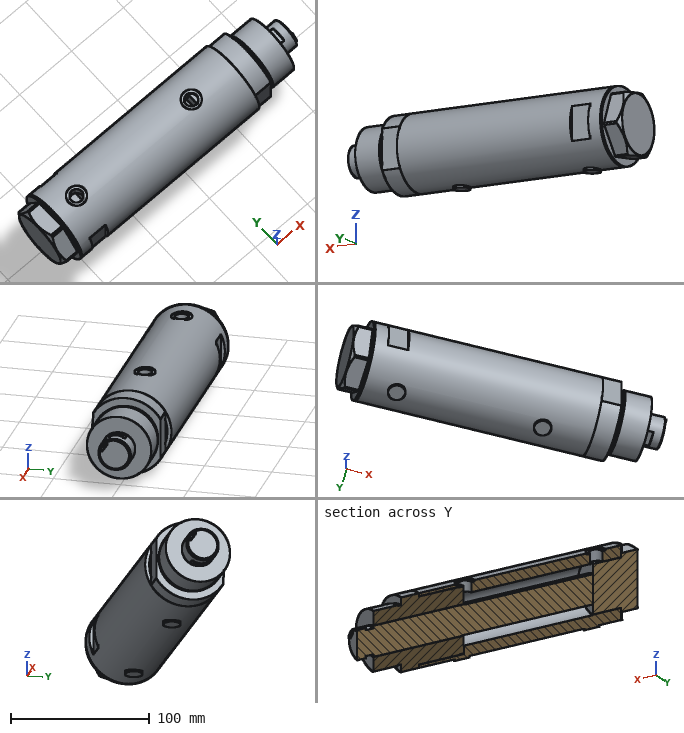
import cadquery as cq
import math


length = 238.5
hex_end = 13.0
housing_start = 14.5
housing_end = 185.5
shoulder_end = 200.5
neck_end = 202.5
collar_start = 203.8
collar_end = 223.9
rod_flat_end = 230.0
pad_height = 0.7
rod_end = length - pad_height

body_diameter = 59.0
bore_diameter = 40.0
spigot_start = 147.3
spigot_diameter = 53.0
body_flat_start = 24.5
body_flat_end = 39.8
body_flats_across = 53.0
port_positions = (35.3, 146.0)
port_diameter = 10.3
spotface_diameter = 15.3
spotface_height = 28.4
boss_positions = (38.9, 148.5)
boss_diameter = 12.6
boss_height = 1.2

hex_flats_across = 46.3
hex_corner_diameter = 52.5
hex_turn = 7.2
hex_face_diameter = 45.3
hex_chamfer_length = 2.6
stud_end = 38.1

gland_flats_across = 50.0
neck_diameter = 46.7
collar_diameter = 48.0

rod_diameter = 24.0
rod_flats_across = 20.7
rod_chamfer_length = 0.7
rod_chamfer_depth = 1.2
pad_length = 8.0
pad_width = 2.0
pad_radius = 9.5
pad_angle = 35.0


def turned(profile):
    """Solid of revolution about X from (x, radius) points; both ends close on the axis."""
    points = [(profile[0][0], 0), *profile, (profile[-1][0], 0)]
    return cq.Workplane("XZ").polyline(points).close().revolve(360, (0, 0, 0), (1, 0, 0))


def cylinder(start, end, diameter):
    """Solid cylinder on the X axis."""
    return turned([(start, diameter / 2), (end, diameter / 2)])


def cut_flats(body, start, end, across, normal):
    """Cut two opposite flats, facing +/- normal ("Y" or "Z"), between two stations."""
    middle = (start + end) / 2
    width = end - start
    stock = 2 * body_diameter
    slab_size = (width, across, stock) if normal == "Y" else (width, stock, across)
    center_plane = cq.Workplane("XY", origin=(middle, 0, 0))
    kept_slab = center_plane.box(*slab_size)
    removed = center_plane.box(width, stock, stock).cut(kept_slab)
    return body.cut(removed)


def vertical_cylinder(x, bottom, top, diameter):
    """Solid cylinder parallel to Z whose axis crosses the X axis."""
    return cq.Workplane("XY", origin=(x, 0, bottom)).circle(diameter / 2).extrude(top - bottom)


def make_plug():
    """Hexagon head with chamfered corners, flange and a stud that fills the bore."""
    hex_diameter = hex_flats_across / math.cos(math.radians(30))
    head = (
        cq.Workplane("YZ")
        .polygon(6, hex_diameter)
        .extrude(hex_end)
        .rotate((0, 0, 0), (1, 0, 0), -hex_turn)
    )
    corner_limit = turned(
        [
            (0, hex_face_diameter / 2),
            (hex_chamfer_length, hex_corner_diameter / 2),
            (hex_end, hex_corner_diameter / 2),
        ]
    )
    flange = cylinder(hex_end, housing_start, body_diameter)
    stud = cylinder(housing_start, stud_end, bore_diameter)
    return head.intersect(corner_limit).union(flange).union(stud)


def make_housing():
    """Tube with wrench flats, two ports on top and two round bosses below."""
    housing = cylinder(housing_start, housing_end, body_diameter)
    housing = cut_flats(housing, body_flat_start, body_flat_end, body_flats_across, "Y")
    for x in boss_positions:
        boss_bottom = -body_diameter / 2 - boss_height
        housing = housing.union(vertical_cylinder(x, boss_bottom, -bore_diameter / 2, boss_diameter))
    for x in port_positions:
        housing = housing.cut(vertical_cylinder(x, spotface_height, body_diameter, spotface_diameter))
        housing = housing.cut(vertical_cylinder(x, 0, body_diameter, port_diameter))
    housing = housing.cut(cylinder(housing_start, housing_end, bore_diameter))
    return housing.cut(cylinder(spigot_start, housing_end, spigot_diameter))


def make_gland():
    """Rod guide: spigot in the housing, shoulder with flats, neck and collar."""
    gland = turned(
        [
            (spigot_start, spigot_diameter / 2),
            (housing_end, spigot_diameter / 2),
            (housing_end, body_diameter / 2),
            (shoulder_end, body_diameter / 2),
            (shoulder_end, neck_diameter / 2),
            (neck_end, neck_diameter / 2),
            (collar_start, collar_diameter / 2),
            (collar_end, collar_diameter / 2),
        ]
    )
    gland = cut_flats(gland, housing_end, shoulder_end, gland_flats_across, "Y")
    return gland.cut(cylinder(spigot_start, collar_end, rod_diameter))


def make_rod():
    """Rod from the plug stud to the outer tip, with flats beside the gland and a pad on its end."""
    rod = turned(
        [
            (stud_end, rod_diameter / 2),
            (rod_end - rod_chamfer_length, rod_diameter / 2),
            (rod_end, rod_diameter / 2 - rod_chamfer_depth),
        ]
    )
    rod = cut_flats(rod, collar_end, rod_flat_end, rod_flats_across, "Z")
    pad = (
        cq.Workplane("YZ", origin=(rod_end, 0, 0))
        .center(-pad_radius, 0)
        .slot2D(pad_length, pad_width, 90)
        .extrude(pad_height)
        .rotate((0, 0, 0), (1, 0, 0), -pad_angle)
    )
    return rod.union(pad)


plug = make_plug()
housing = make_housing()
gland = make_gland()
rod = make_rod()

result = cq.Compound.makeCompound([plug.val(), housing.val(), gland.val(), rod.val()])